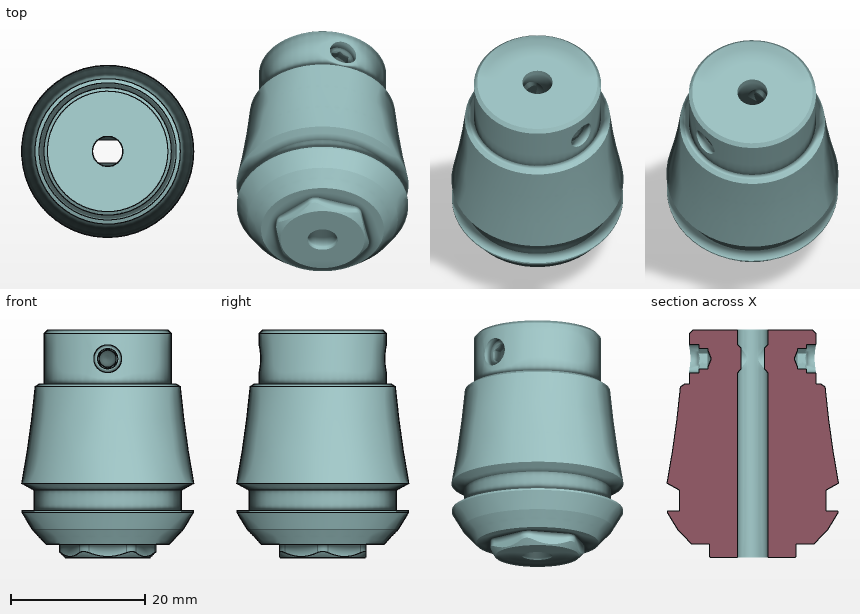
import cadquery as cq
import math

height = 34.0

nut_height = 2.0
nut_across_flats = 12.95
nut_corner_radius = 1.63
nut_bottom_radius = 6.3

collar_bottom_radius = 9.18
collar_bend_radius = 11.25
collar_bend_z = 4.2
collar_radius = 25.6 / 2
collar_rim_z = 6.75
collar_top_z = 7.05

groove_radius = 22.0 / 2
groove_top_z = 10.1

body_radius = 12.85
body_widest_z = 11.12
body_top_radius = 10.85
body_top_z = 25.95
body_chamfer_width = 0.6
body_chamfer_height = 0.4
taper_hollow = 0.17

neck_radius = 19.0 / 2
neck_chamfer = 0.5

bore_diameter = 4.5

screw_z = 29.7
screw_diameter = 4.15
screw_recess_y = 8.1
screw_tip_y = 1.7
screw_tip_radius = 1.55
socket_across_flats = 2.55
socket_depth = 1.35
socket_cone_height = 0.5
socket_lead_diameter = 3.03


def make_body():
    """Revolve collar, groove, tapered body and neck about Z."""
    taper_top_z = body_top_z - body_chamfer_height
    taper_middle = (
        (body_radius + body_top_radius) / 2 - taper_hollow,
        (body_widest_z + taper_top_z) / 2,
    )
    return (
        cq.Workplane("XZ")
        .moveTo(0, nut_height)
        .lineTo(collar_bottom_radius, nut_height)
        .lineTo(collar_bend_radius, collar_bend_z)
        .lineTo(collar_radius, collar_rim_z)
        .lineTo(collar_radius, collar_top_z)
        .lineTo(groove_radius, collar_top_z)
        .lineTo(groove_radius, groove_top_z)
        .lineTo(body_radius, body_widest_z)
        .threePointArc(taper_middle, (body_top_radius, taper_top_z))
        .lineTo(body_top_radius - body_chamfer_width, body_top_z)
        .lineTo(neck_radius, body_top_z)
        .lineTo(neck_radius, height - neck_chamfer)
        .lineTo(neck_radius - neck_chamfer, height)
        .lineTo(0, height)
        .close()
        .revolve()
    )


def make_nut():
    """Hexagon with two flats facing +/-Y, rounded corners and a conical lower edge."""
    across_corners = nut_across_flats / math.cos(math.pi / 6)
    hexagon = (
        cq.Workplane("XY")
        .polygon(6, across_corners)
        .extrude(nut_height)
        .edges("|Z")
        .fillet(nut_corner_radius)
    )
    cone = (
        cq.Workplane("XZ")
        .lineTo(nut_bottom_radius, 0)
        .lineTo(nut_bottom_radius + nut_height, nut_height)
        .lineTo(0, nut_height)
        .close()
        .revolve()
    )
    return hexagon.intersect(cone)


def make_screw():
    """Set screw on the -Y side: bevelled tip inside the bore, hexagonal socket outside."""
    radius = screw_diameter / 2
    shoulder_y = screw_tip_y + radius - screw_tip_radius
    screw = (
        cq.Workplane("XY")
        .moveTo(0, -screw_tip_y)
        .lineTo(screw_tip_radius, -screw_tip_y)
        .lineTo(radius, -shoulder_y)
        .lineTo(radius, -screw_recess_y)
        .lineTo(0, -screw_recess_y)
        .close()
        .revolve(360, (0, 0, 0), (0, 1, 0))
    )

    across_corners = socket_across_flats / math.cos(math.pi / 6)
    floor_y = -screw_recess_y + socket_depth
    socket = (
        cq.Workplane("XZ", origin=(0, floor_y, 0))
        .transformed(rotate=(0, 0, 90))
        .polygon(6, across_corners)
        .extrude(socket_depth)
    )

    lead_radius = socket_lead_diameter / 2
    lead_depth = (socket_lead_diameter - socket_across_flats) / 2
    drill_point = cq.Solid.makeCone(
        socket_across_flats / 2, 0, socket_cone_height,
        pnt=cq.Vector(0, floor_y, 0), dir=cq.Vector(0, 1, 0),
    )
    lead_in = cq.Solid.makeCone(
        lead_radius, lead_radius - lead_depth, lead_depth,
        pnt=cq.Vector(0, -screw_recess_y, 0), dir=cq.Vector(0, 1, 0),
    )
    screw = screw.cut(socket).cut(cq.Workplane(drill_point)).cut(cq.Workplane(lead_in))
    return screw.translate((0, 0, screw_z))


bore = cq.Workplane("XY").circle(bore_diameter / 2).extrude(height)
cross_hole = (
    cq.Workplane("XZ")
    .center(0, screw_z)
    .circle(screw_diameter / 2)
    .extrude(neck_radius, both=True)
)

front_screw = make_screw()
back_screw = front_screw.mirror("XZ")

result = (
    make_body()
    .union(make_nut())
    .cut(bore)
    .cut(cross_hole)
    .union(front_screw)
    .union(back_screw)
)